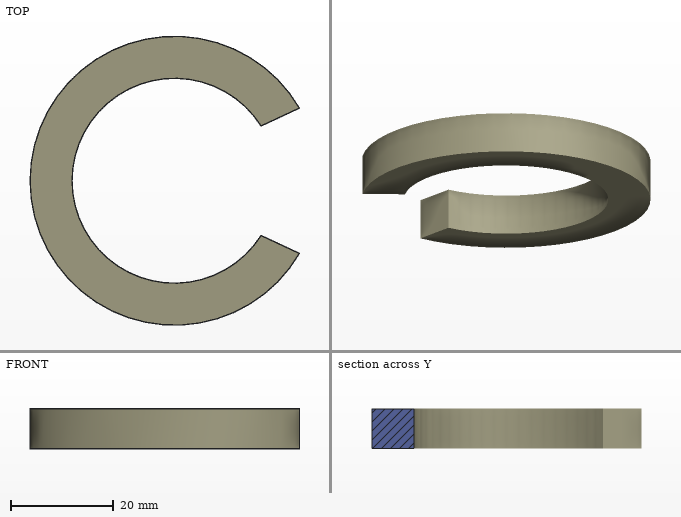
import cadquery as cq
import math

outer_diameter = 56.5
inner_diameter = 40.0
thickness = 7.9

mouth_half_angle = 25.0
mouth_apex_x = -6.0


def ring():
    return (
        cq.Workplane("XY")
        .circle(outer_diameter / 2)
        .circle(inner_diameter / 2)
        .extrude(thickness)
    )


def mouth_wedge():
    """Triangular prism that opens from its apex to beyond the +X side of the ring."""
    far_x = outer_diameter
    half_width = (far_x - mouth_apex_x) * math.tan(math.radians(mouth_half_angle))
    return (
        cq.Workplane("XY")
        .moveTo(mouth_apex_x, 0)
        .lineTo(far_x, -half_width)
        .lineTo(far_x, half_width)
        .close()
        .extrude(thickness)
    )


result = ring().cut(mouth_wedge())